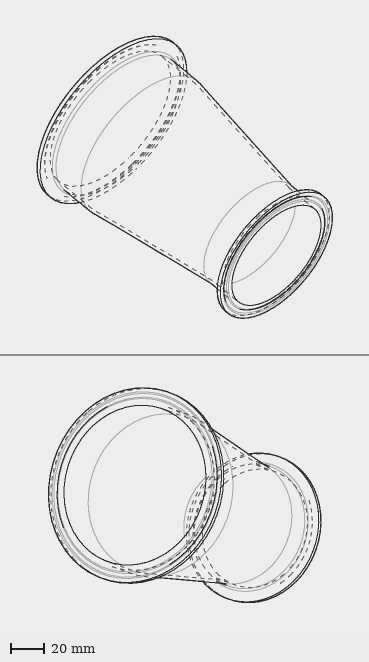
import cadquery as cq
import math

total_length = 149.0
wall = 2.0
large_tube_radius = 101.6 / 2
small_tube_radius = 76.3 / 2
taper_start = 30.0
taper_end = 126.0

large_rim_radius = 119.0 / 2
small_rim_radius = 91.0 / 2
rim_width = 2.85
clamp_angle = math.radians(20)
neck_fillet = 2.0

groove_inset = 4.5
groove_arc_radius = 1.2
groove_edge_radius = 0.95
groove_side_angle = math.radians(70)


def revolve_about_x(profile):
    """Turn an (x, radius) profile into a solid of revolution about the X axis."""
    return profile.close().revolve(360, (0, 0, 0), (1, 0, 0))


def reducer_body(large_radius, small_radius):
    """Straight large end, cone, then straight small end, filled solid."""
    profile = (
        cq.Workplane("XZ")
        .lineTo(0, large_radius)
        .lineTo(taper_start, large_radius)
        .lineTo(taper_end, small_radius)
        .lineTo(total_length, small_radius)
        .lineTo(total_length, 0)
    )
    return revolve_about_x(profile)


def ferrule(rim_radius, tube_radius):
    """Solid clamp flange with its face at X = 0 and its neck toward +X."""
    cone_foot = rim_width + (rim_radius - tube_radius) * math.tan(clamp_angle)
    turn = math.pi / 2 - clamp_angle
    tangent_length = neck_fillet * math.tan(turn / 2)
    neck_end = cone_foot + tangent_length
    cone_end = (
        cone_foot - tangent_length * math.sin(clamp_angle),
        tube_radius + tangent_length * math.cos(clamp_angle),
    )
    arc_middle = (
        neck_end - neck_fillet * math.sin(turn / 2),
        tube_radius + neck_fillet * (1 - math.cos(turn / 2)),
    )
    profile = (
        cq.Workplane("XZ")
        .lineTo(0, rim_radius)
        .lineTo(rim_width, rim_radius)
        .lineTo(*cone_end)
        .threePointArc(arc_middle, (neck_end, tube_radius))
        .lineTo(neck_end, 0)
    )
    return revolve_about_x(profile)


def gasket_groove(rim_radius):
    """Ring to cut from the ferrule face at X = 0."""
    centre = rim_radius - groove_inset
    depth = (groove_arc_radius + groove_edge_radius) * (1 - math.cos(groove_side_angle))
    join_offset = groove_arc_radius * math.sin(groove_side_angle)
    join_depth = groove_edge_radius * (1 - math.cos(groove_side_angle))
    half_width = join_offset + groove_edge_radius * math.sin(groove_side_angle)
    edge_middle_offset = half_width - groove_edge_radius * math.sin(groove_side_angle / 2)
    edge_middle_depth = groove_edge_radius * (1 - math.cos(groove_side_angle / 2))
    profile = (
        cq.Workplane("XZ")
        .moveTo(0, centre - half_width)
        .threePointArc(
            (edge_middle_depth, centre - edge_middle_offset),
            (join_depth, centre - join_offset),
        )
        .threePointArc((depth, centre), (join_depth, centre + join_offset))
        .threePointArc(
            (edge_middle_depth, centre + edge_middle_offset),
            (0, centre + half_width),
        )
    )
    return revolve_about_x(profile)


def at_far_end(feature):
    """Mirror a feature made at X = 0 onto the face at the small end."""
    return feature.mirror("YZ").translate((total_length, 0, 0))


outside = (
    reducer_body(large_tube_radius, small_tube_radius)
    .union(ferrule(large_rim_radius, large_tube_radius))
    .union(at_far_end(ferrule(small_rim_radius, small_tube_radius)))
)
bore = reducer_body(large_tube_radius - wall, small_tube_radius - wall)

result = (
    outside.cut(bore)
    .cut(gasket_groove(large_rim_radius))
    .cut(at_far_end(gasket_groove(small_rim_radius)))
)